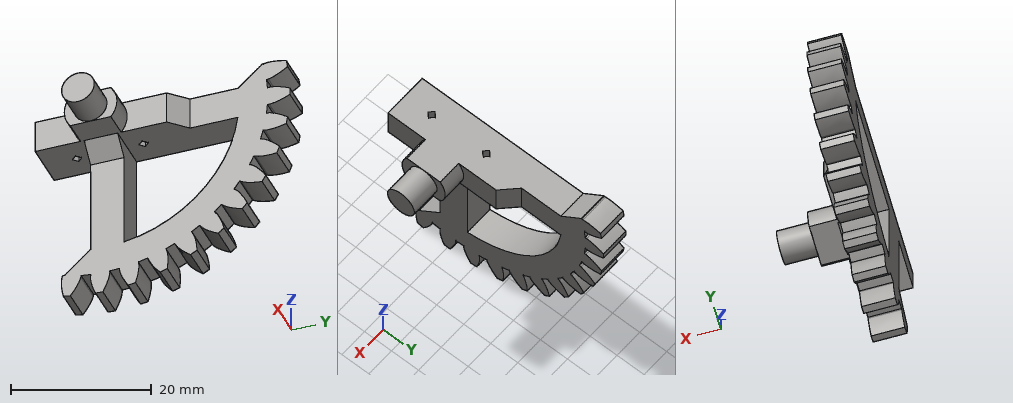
import cadquery as cq
import math

tooth_count = 35
sector_tooth_count = 12
tip_radius = 27.75
pressure_angle = math.radians(20)
dedendum_factor = 1.25
rim_inner_radius = 20.0
upper_rim_overhang = 14.0
lower_rim_overhang = 15.7
flank_point_count = 6

module = tip_radius / (tooth_count / 2 + 1)
pitch_radius = module * tooth_count / 2
root_radius = pitch_radius - dedendum_factor * module
base_radius = pitch_radius * math.cos(pressure_angle)
tooth_pitch = 360 / tooth_count

plate_thickness = 5.0
bar_thickness = 7.55
bar_height = 5.1
bar_end = 10.0
half_bar = bar_height / 2
step = bar_thickness - plate_thickness
rim_corner = math.sqrt(rim_inner_radius**2 - half_bar**2)

hub_diameter = 8.0
hub_length = 4.08
pin_diameter = 5.0
pin_length = 5.02

hole_diagonal = 1.4
hole_x = bar_thickness / 2
hole_offset = 5.05


def polar(radius, degrees):
    """Point in the YZ plane, with the angle measured from +Y towards -Z."""
    angle = math.radians(degrees)
    return (radius * math.cos(angle), -radius * math.sin(angle))


def involute(angle):
    return math.tan(angle) - angle


def tooth_half_angle(radius):
    """Angle in degrees from the tooth centre to its involute flank."""
    half_pitch_tooth = math.pi / (2 * tooth_count)
    roll = math.acos(base_radius / radius)
    return math.degrees(half_pitch_tooth + involute(pressure_angle) - involute(roll))


def make_rim():
    """Ring sector out to the root circle, with straight ends sloping to the bar and the post."""
    diagonal = 45
    return (
        cq.Workplane("YZ")
        .moveTo(rim_corner, half_bar)
        .lineTo(*polar(root_radius, -upper_rim_overhang))
        .threePointArc(
            polar(root_radius, diagonal),
            polar(root_radius, 90 + lower_rim_overhang),
        )
        .lineTo(-half_bar, -rim_corner)
        .threePointArc(polar(rim_inner_radius, diagonal), (rim_corner, half_bar))
        .close()
        .extrude(plate_thickness)
    )


def make_tooth(centre):
    """One tooth: involute flanks, radial below the base circle and sunk into the rim."""
    radii = [
        base_radius + (tip_radius - base_radius) * i / (flank_point_count - 1)
        for i in range(flank_point_count)
    ]
    lower_flank = [polar(r, centre + tooth_half_angle(r)) for r in radii]
    upper_flank = [polar(r, centre - tooth_half_angle(r)) for r in reversed(radii)]
    base_half_angle = tooth_half_angle(base_radius)
    foot_radius = root_radius - module / 2
    return (
        cq.Workplane("YZ")
        .moveTo(*polar(foot_radius, centre))
        .lineTo(*polar(root_radius, centre + base_half_angle))
        .lineTo(*lower_flank[0])
        .spline(lower_flank[1:], includeCurrent=True)
        .threePointArc(polar(tip_radius, centre), upper_flank[0])
        .spline(upper_flank[1:], includeCurrent=True)
        .lineTo(*polar(root_radius, centre - base_half_angle))
        .close()
        .extrude(plate_thickness)
    )


def make_bar():
    """Bar along Y that thins from full thickness to the plate through a 45 degree chamfer."""
    return (
        cq.Workplane("XY")
        .workplane(offset=-half_bar)
        .moveTo(0, -bar_end)
        .lineTo(bar_thickness, -bar_end)
        .lineTo(bar_thickness, bar_end)
        .lineTo(plate_thickness, bar_end + step)
        .lineTo(plate_thickness, rim_inner_radius)
        .lineTo(0, rim_inner_radius)
        .close()
        .extrude(bar_height)
    )


def make_post():
    """Post down to the rim, with a 45 degree gusset under the thick bar."""
    return (
        cq.Workplane("XZ")
        .moveTo(0, 0)
        .lineTo(bar_thickness, 0)
        .lineTo(bar_thickness, -half_bar)
        .lineTo(plate_thickness, -half_bar - step)
        .lineTo(plate_thickness, -rim_inner_radius)
        .lineTo(0, -rim_inner_radius)
        .close()
        .extrude(half_bar, both=True)
    )


def make_hub():
    """Round hub cut flush with the top and bottom of the bar."""
    hub = cq.Workplane("YZ", origin=(bar_thickness, 0, 0)).circle(hub_diameter / 2).extrude(hub_length)
    flats = cq.Workplane("YZ", origin=(bar_thickness, 0, 0)).rect(hub_diameter, bar_height).extrude(hub_length)
    return hub.intersect(flats)


def make_pin():
    return (
        cq.Workplane("YZ", origin=(bar_thickness + hub_length, 0, 0))
        .circle(pin_diameter / 2)
        .extrude(pin_length)
    )


def make_holes():
    """Square holes through the bar, corners pointing along X and Y."""
    return (
        cq.Workplane("XY")
        .workplane(offset=-half_bar)
        .pushPoints([(hole_x, -hole_offset), (hole_x, hole_offset)])
        .polygon(4, hole_diagonal)
        .extrude(bar_height)
    )


result = make_rim()
for tooth_index in range(-1, sector_tooth_count - 1):
    result = result.union(make_tooth(tooth_index * tooth_pitch))
for body in (make_bar(), make_post(), make_hub(), make_pin()):
    result = result.union(body)
result = result.cut(make_holes())